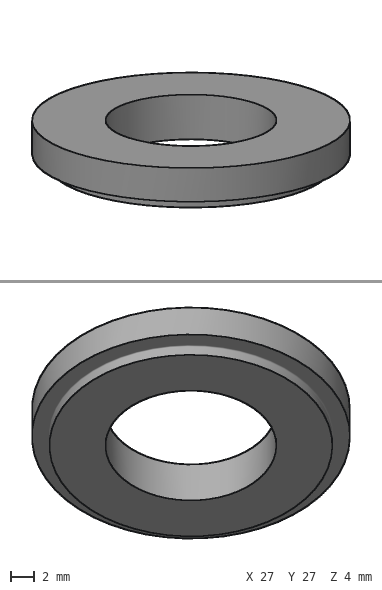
import cadquery as cq

flange_diameter = 27.0
spigot_diameter = 24.0
bore_diameter = 14.5
total_height = 4.0
spigot_height = 1.0
root_fillet_radius = 0.1
flange_height = total_height - spigot_height

flange = (
    cq.Workplane("XY")
    .workplane(offset=spigot_height)
    .circle(flange_diameter / 2)
    .extrude(flange_height)
)

spigot = cq.Workplane("XY").circle(spigot_diameter / 2).extrude(spigot_height)

stepped_disc = spigot.union(flange)
root_edge = cq.selectors.RadiusNthSelector(0)
stepped_disc = stepped_disc.edges("not <Z").edges(root_edge).fillet(root_fillet_radius)

bore = cq.Workplane("XY").circle(bore_diameter / 2).extrude(total_height)

result = stepped_disc.cut(bore)